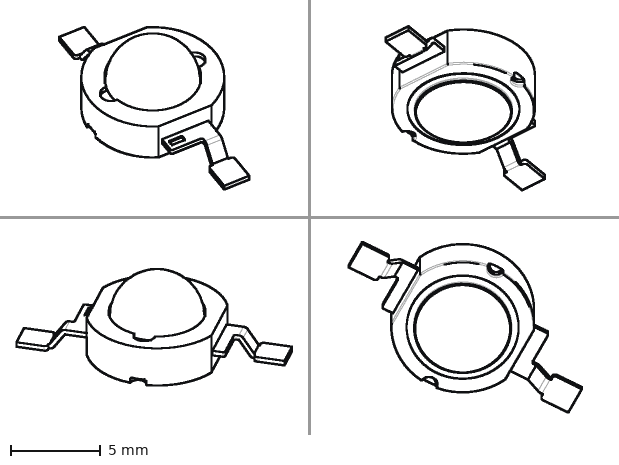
import cadquery as cq
import math

HOUSING_BOTTOM = 0.25
HOUSING_TOP = 2.7
OVERALL_HEIGHT = 5.04

OVERALL_LENGTH = 14.9

HOUSING_DIAMETER = 7.95
HOUSING_WIDTH = 7.2
HOUSING_EDGE_RADIUS = 0.07

SLUG_DIAMETER = 5.4
SLUG_EDGE_CHAMFER = 0.06
STEP_DIAMETER = 6.23
STEP_HEIGHT = 0.05
STEP_CORNER_RADIUS = 0.05

LENS_RADIUS = 2.64
LENS_BASE = OVERALL_HEIGHT - LENS_RADIUS
SEAT_RADIUS = 2.7
EAR_RADIUS = 0.6

NOTCH_RADIUS = 0.46
NOTCH_TOP = 0.64
NOTCH_CEILING_CHAMFER = 0.1

LEAD_THICKNESS = 0.3
LEAD_TOP = 1.6
LEAD_BOTTOM = LEAD_TOP - LEAD_THICKNESS
PAD_BOTTOM = HOUSING_BOTTOM
PAD_TOP = PAD_BOTTOM + LEAD_THICKNESS
TAB_HALF_WIDTH = 1.49
NECK_WIDTH = 0.98
PAD_WIDTH = 1.61
NECK_CENTRE = TAB_HALF_WIDTH - NECK_WIDTH / 2
LEAD_CORNER_RADIUS = 0.1
PAD_CORNER_RADIUS = 0.18

SHORT_TAB_REACH = 4.3
UPPER_BEND_REACH = 4.57
LOWER_BEND_REACH = 5.45
PAD_START_REACH = 5.51
SHORT_LEAD_REACH = 7.29
LONG_LEAD_EXTRA = OVERALL_LENGTH - 2 * SHORT_LEAD_REACH

MARK_LENGTH = 0.36
MARK_WIDTH = 0.83
MARK_DEPTH = 0.1
MARK_X = 4.1
MARK_Y = -0.8

SELECT_MARGIN = 0.01


def disc(diameter, bottom, top):
    return cq.Workplane("XY").workplane(offset=bottom).circle(diameter / 2).extrude(top - bottom)


def slab(x_start, x_end, y_centre, width, bottom, top):
    """Rectangular block between two X positions."""
    return (
        cq.Workplane("XY")
        .workplane(offset=bottom)
        .center((x_start + x_end) / 2, y_centre)
        .rect(x_end - x_start, width)
        .extrude(top - bottom)
    )


def make_edge_notches():
    return (
        cq.Workplane("XY")
        .workplane(offset=HOUSING_BOTTOM)
        .pushPoints([(0, -HOUSING_DIAMETER / 2), (0, HOUSING_DIAMETER / 2)])
        .circle(NOTCH_RADIUS)
        .extrude(NOTCH_TOP - HOUSING_BOTTOM)
        .faces(">Z")
        .edges()
        .chamfer(NOTCH_CEILING_CHAMFER)
    )


def make_housing_block():
    block = disc(HOUSING_DIAMETER, HOUSING_BOTTOM, HOUSING_TOP)
    between_flats = slab(
        -HOUSING_WIDTH / 2, HOUSING_WIDTH / 2, 0, HOUSING_DIAMETER, HOUSING_BOTTOM, HOUSING_TOP
    )
    notched = block.intersect(between_flats).cut(make_edge_notches())
    return notched.faces("<Z").edges().fillet(HOUSING_EDGE_RADIUS)


def make_slug():
    step_bottom = HOUSING_BOTTOM - STEP_HEIGHT
    step = disc(STEP_DIAMETER, step_bottom, HOUSING_BOTTOM)
    foot = disc(SLUG_DIAMETER, 0, HOUSING_BOTTOM).faces("<Z").edges().chamfer(SLUG_EDGE_CHAMFER)
    inside_corner = cq.selectors.BoxSelector(
        (-SLUG_DIAMETER, -SLUG_DIAMETER, step_bottom - SELECT_MARGIN),
        (SLUG_DIAMETER, SLUG_DIAMETER, step_bottom + SELECT_MARGIN),
    )
    corner_edges = step.union(foot).edges(inside_corner).edges(cq.selectors.RadiusNthSelector(0))
    return corner_edges.fillet(STEP_CORNER_RADIUS)


def make_lens_seat():
    """Round recess for the lens, with a rounded ear on each Y side."""
    ears = (
        cq.Workplane("XY")
        .workplane(offset=LENS_BASE)
        .pushPoints([(0, -SEAT_RADIUS), (0, SEAT_RADIUS)])
        .circle(EAR_RADIUS)
        .extrude(HOUSING_TOP - LENS_BASE)
    )
    return disc(2 * SEAT_RADIUS, LENS_BASE, HOUSING_TOP).union(ears)


def make_neck(upper_x, lower_x, start_x, end_x):
    """Cranked strip whose outer bends are arcs centred on its sharp inner bends."""
    run = lower_x - upper_x
    drop = LEAD_BOTTOM - PAD_TOP
    slope = math.atan2(drop, run) + math.asin(LEAD_THICKNESS / math.hypot(run, drop))

    def bend_offset(angle):
        return LEAD_THICKNESS * math.sin(angle), LEAD_THICKNESS * math.cos(angle)

    full_x, full_z = bend_offset(slope)
    half_x, half_z = bend_offset(slope / 2)
    profile = (
        cq.Workplane("XZ")
        .moveTo(start_x, LEAD_BOTTOM)
        .lineTo(start_x, LEAD_TOP)
        .lineTo(upper_x, LEAD_TOP)
        .threePointArc((upper_x + half_x, LEAD_BOTTOM + half_z), (upper_x + full_x, LEAD_BOTTOM + full_z))
        .lineTo(lower_x, PAD_TOP)
        .lineTo(end_x, PAD_TOP)
        .lineTo(end_x, PAD_BOTTOM)
        .lineTo(lower_x, PAD_BOTTOM)
        .threePointArc((lower_x - half_x, PAD_TOP - half_z), (lower_x - full_x, PAD_TOP - full_z))
        .lineTo(upper_x, LEAD_BOTTOM)
        .close()
    )
    return profile.extrude(NECK_WIDTH / 2, both=True).translate((0, NECK_CENTRE, 0))


def make_lead(extra):
    """Lead pointing to +X, with its tab and crank moved outward by extra."""
    root = HOUSING_WIDTH / 2
    tab_end = SHORT_TAB_REACH + extra
    upper_x = UPPER_BEND_REACH + extra
    lower_x = LOWER_BEND_REACH + extra
    pad_start = PAD_START_REACH + extra
    pad_end = SHORT_LEAD_REACH + extra

    tab = slab(root, tab_end, 0, 2 * TAB_HALF_WIDTH, LEAD_BOTTOM, LEAD_TOP)
    neck_flat = slab(root, upper_x, NECK_CENTRE, NECK_WIDTH, LEAD_BOTTOM, LEAD_TOP)
    corners = cq.selectors.BoxSelector(
        (tab_end - SELECT_MARGIN, -TAB_HALF_WIDTH - SELECT_MARGIN, LEAD_BOTTOM),
        (tab_end + SELECT_MARGIN, TAB_HALF_WIDTH - SELECT_MARGIN, LEAD_TOP),
    )
    tab = tab.union(neck_flat).edges("|Z").edges(corners).fillet(LEAD_CORNER_RADIUS)

    pad = slab(pad_start, pad_end, NECK_CENTRE, PAD_WIDTH, PAD_BOTTOM, PAD_TOP)
    pad = pad.faces("<X").edges("|Z").fillet(PAD_CORNER_RADIUS)

    return tab.union(make_neck(upper_x, lower_x, tab_end, pad_end)).union(pad)


def make_polarity_mark():
    return slab(
        MARK_X - MARK_LENGTH / 2, MARK_X + MARK_LENGTH / 2, MARK_Y, MARK_WIDTH,
        LEAD_TOP - MARK_DEPTH, LEAD_TOP,
    )


def make_base():
    """Housing, slug and both leads as one solid."""
    housing = make_housing_block().cut(make_lens_seat())
    short_lead = make_lead(0).rotate((0, 0, 0), (0, 0, 1), 180)
    long_lead = make_lead(LONG_LEAD_EXTRA).cut(make_polarity_mark())
    return housing.union(make_slug()).union(short_lead).union(long_lead)


def make_lens():
    """Half ball standing on the floor of the seat."""
    return cq.Workplane("XY").workplane(offset=LENS_BASE).sphere(LENS_RADIUS).intersect(
        disc(2 * SEAT_RADIUS, LENS_BASE, OVERALL_HEIGHT)
    )


base = make_base()
lens = make_lens()

result = cq.Compound.makeCompound([base.val(), lens.val()])